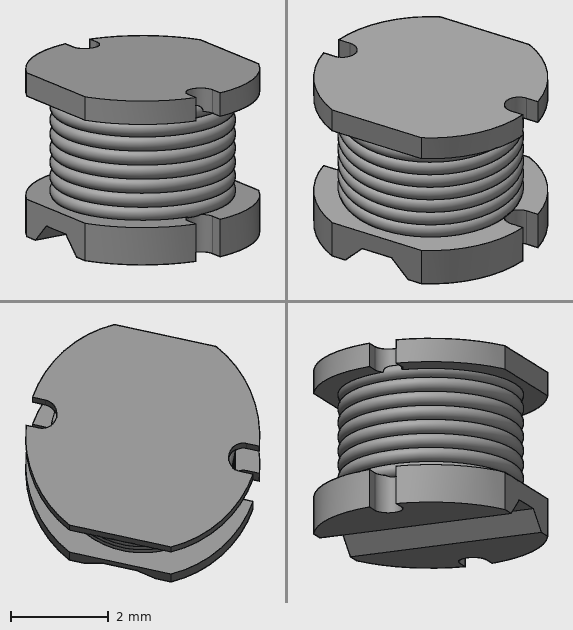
import cadquery as cq
import math

LENGTH_X = 4.76
WIDTH_Y = 4.3
NOTCH_WIDTH = 0.6
NOTCH_FLOOR_X = 1.81
NOTCH_RADIUS = NOTCH_WIDTH / 2
DISC_RADIUS = math.hypot(LENGTH_X / 2, NOTCH_WIDTH / 2)

HEIGHT = 3.5
BASE_HEIGHT = 0.8
CAP_THICKNESS = 0.5
CAP_BOTTOM = HEIGHT - CAP_THICKNESS

CHANNEL_DEPTH = 0.4
CHANNEL_TOP_WIDTH = 0.7
CHANNEL_BOTTOM_WIDTH = CHANNEL_TOP_WIDTH + 2 * CHANNEL_DEPTH

TURN_COUNT = 8
WIRE_RADIUS = 0.15
WINDING_RADIUS = 1.905
TURN_PITCH = 2 * WIRE_RADIUS
TURN_CENTER_RADIUS = WINDING_RADIUS - WIRE_RADIUS
FIRST_TURN_Z = CAP_BOTTOM - (TURN_COUNT - 1) * TURN_PITCH
CORE_RADIUS = WINDING_RADIUS - 2 * WIRE_RADIUS


def make_turn(z):
    """One closed ring of wire centred at height z."""
    return cq.Workplane(
        cq.Solid.makeTorus(TURN_CENTER_RADIUS, WIRE_RADIUS, cq.Vector(0, 0, z))
    )


def make_flange(bottom, thickness):
    """Flat-sided disc with a round-ended notch at each X end."""
    plane = cq.Workplane("XY").workplane(offset=bottom)
    disc = plane.circle(DISC_RADIUS).extrude(thickness)
    flats = plane.rect(2 * DISC_RADIUS, WIDTH_Y).extrude(thickness)
    flange = disc.intersect(flats)
    slot_length = 2 * (DISC_RADIUS - NOTCH_FLOOR_X)
    notches = (
        plane.pushPoints([(-DISC_RADIUS, 0), (DISC_RADIUS, 0)])
        .slot2D(slot_length, 2 * NOTCH_RADIUS)
        .extrude(thickness)
    )
    return flange.cut(notches)


def make_channel():
    """Trapezoidal prism running along Y through the base."""
    return (
        cq.Workplane("XZ")
        .moveTo(-CHANNEL_BOTTOM_WIDTH / 2, 0)
        .lineTo(-CHANNEL_TOP_WIDTH / 2, CHANNEL_DEPTH)
        .lineTo(CHANNEL_TOP_WIDTH / 2, CHANNEL_DEPTH)
        .lineTo(CHANNEL_BOTTOM_WIDTH / 2, 0)
        .close()
        .extrude(WIDTH_Y / 2, both=True)
    )


def make_base():
    """Lower flange with its channel, the seat of the first turn, and the core."""
    core = (
        cq.Workplane("XY")
        .workplane(offset=BASE_HEIGHT)
        .circle(CORE_RADIUS)
        .extrude(CAP_BOTTOM - BASE_HEIGHT)
    )
    flange = make_flange(0, BASE_HEIGHT).cut(make_channel())
    return flange.cut(make_turn(FIRST_TURN_Z)).union(core)


def make_cap():
    """Upper flange, grooved underneath to seat the last turn."""
    return make_flange(CAP_BOTTOM, CAP_THICKNESS).cut(make_turn(CAP_BOTTOM))


base = make_base()
cap = make_cap()
turns = [make_turn(FIRST_TURN_Z + i * TURN_PITCH) for i in range(TURN_COUNT)]

result = cq.Compound.makeCompound([base.val(), cap.val(), *[turn.val() for turn in turns]])